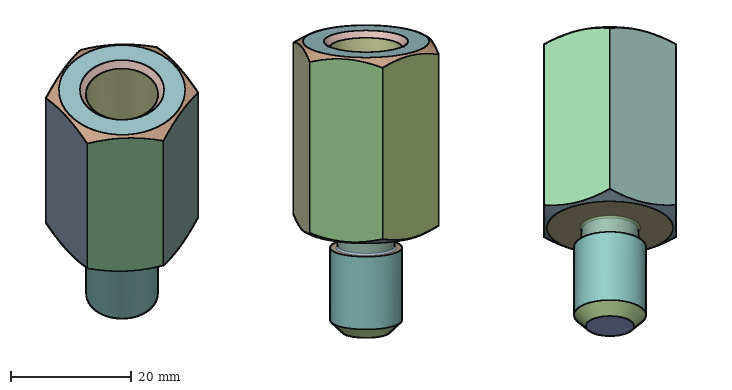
import cadquery as cq
import math

total_length = 50.0
body_length = 32.0
body_bottom = total_length - body_length

across_flats = 22.0
half_side_angle = 30.0
across_corners = across_flats / math.cos(math.radians(half_side_angle))
end_face_diameter = 21.0
corner_chamfer_angle = 30.0
cone_overrun = 0.5

stud_diameter = 12.0
tip_chamfer = 2.0
neck_diameter = 9.5
neck_length = 3.5
neck_fillet = 0.3

hole_diameter = 12.0
hole_depth = 22.0
countersink_diameter = 14.0


def make_body():
    """Hexagonal prism with its corners turned conical at both ends."""
    prism = (
        cq.Workplane("XY", origin=(0, 0, body_bottom))
        .polygon(6, across_corners)
        .extrude(body_length)
        .rotate((0, 0, 0), (0, 0, 1), half_side_angle)
    )
    end_radius = end_face_diameter / 2
    outer_radius = across_corners / 2 + cone_overrun
    cone_height = (outer_radius - end_radius) * math.tan(math.radians(corner_chamfer_angle))
    envelope = (
        cq.Workplane("XZ")
        .moveTo(0, body_bottom)
        .lineTo(end_radius, body_bottom)
        .lineTo(outer_radius, body_bottom + cone_height)
        .lineTo(outer_radius, total_length - cone_height)
        .lineTo(end_radius, total_length)
        .lineTo(0, total_length)
        .close()
        .revolve(360, (0, 0, 0), (0, 1, 0))
    )
    return prism.intersect(envelope)


def make_stud():
    """Stud with a chamfered tip and an undercut neck rounded at both ends."""
    stud_radius = stud_diameter / 2
    neck_radius = neck_diameter / 2
    stud_top = body_bottom - neck_length
    return (
        cq.Workplane("XZ")
        .lineTo(stud_radius - tip_chamfer, 0)
        .lineTo(stud_radius, tip_chamfer)
        .lineTo(stud_radius, stud_top)
        .lineTo(neck_radius + neck_fillet, stud_top)
        .radiusArc((neck_radius, stud_top + neck_fillet), neck_fillet)
        .lineTo(neck_radius, body_bottom - neck_fillet)
        .radiusArc((neck_radius + neck_fillet, body_bottom), neck_fillet)
        .lineTo(0, body_bottom)
        .close()
        .revolve(360, (0, 0, 0), (0, 1, 0))
    )


def make_hole():
    """Flat-bottomed hole with a 45 degree countersink at its mouth."""
    hole_radius = hole_diameter / 2
    countersink_radius = countersink_diameter / 2
    countersink_depth = countersink_radius - hole_radius
    hole_bottom = total_length - hole_depth
    return (
        cq.Workplane("XZ")
        .moveTo(0, hole_bottom)
        .lineTo(hole_radius, hole_bottom)
        .lineTo(hole_radius, total_length - countersink_depth)
        .lineTo(countersink_radius, total_length)
        .lineTo(0, total_length)
        .close()
        .revolve(360, (0, 0, 0), (0, 1, 0))
    )


result = make_body().union(make_stud()).cut(make_hole())